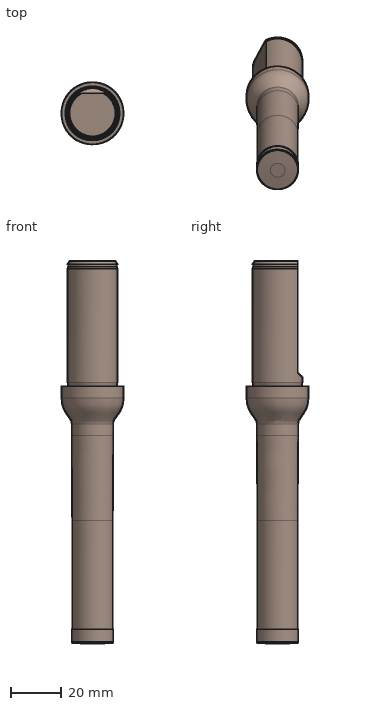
import cadquery as cq

TOTAL_LENGTH = 153.0

SHANK_RADIUS = 20.0 / 2
TOP_FACE_RADIUS = 9.2
TOP_CHAMFER_HEIGHT = 1.4
GROOVE_RADIUS = 19.5 / 2
GROOVE_HEIGHT = 0.9
GROOVE_TAPER_HEIGHT = 0.9
NECK_TAPER_HEIGHT = 1.5

FLAT_OFFSET = 8.1
FLAT_BOTTOM_Z = 108.3

COLLAR_RADIUS = 25.0 / 2
COLLAR_TOP_Z = 103.0
COLLAR_RIM_HEIGHT = 4.6
COLLAR_CURVE_HEIGHT = 10.4
CURVE_RIM_PULL = 6.3
CURVE_STEM_PULL = 2.9

UNDERCUT_RADIUS = 10.9
UNDERCUT_FLOOR_RADIUS = 10.4
UNDERCUT_DEPTH = 0.5

STEM_TOP_RADIUS = 16.7 / 2
STEM_RADIUS = 16.4 / 2
STEM_TAPER_TOP_Z = 83.2
STEM_TAPER_BOTTOM_Z = 49.3

TIP_RADIUS = 16.7 / 2
TIP_TOP_Z = 5.8
TIP_EDGE_Z = 0.8
POINT_BASE_RADIUS = 8.1
POINT_HEIGHT = 0.3
POINT_FLAT_RADIUS = 2.9

groove_top_z = TOTAL_LENGTH - TOP_CHAMFER_HEIGHT
groove_floor_bottom_z = groove_top_z - GROOVE_HEIGHT
groove_bottom_z = groove_floor_bottom_z - GROOVE_TAPER_HEIGHT
neck_top_z = COLLAR_TOP_Z + NECK_TAPER_HEIGHT
rim_bottom_z = COLLAR_TOP_Z - COLLAR_RIM_HEIGHT
stem_top_z = rim_bottom_z - COLLAR_CURVE_HEIGHT

undercut_floor_z = COLLAR_TOP_Z - UNDERCUT_DEPTH


def flat_cutter():
    """Material removed for the clamping flat and its 45 degree ramp."""
    cut_depth = COLLAR_RADIUS - FLAT_OFFSET
    profile = (
        cq.Workplane("YZ")
        .moveTo(FLAT_OFFSET, TOTAL_LENGTH)
        .lineTo(FLAT_OFFSET, FLAT_BOTTOM_Z)
        .lineTo(COLLAR_RADIUS, FLAT_BOTTOM_Z - cut_depth)
        .lineTo(COLLAR_RADIUS, TOTAL_LENGTH)
        .close()
    )
    return profile.extrude(SHANK_RADIUS, both=True)


def make_holder():
    """Shank, collar and stem as one turned body with a clamping flat."""
    collar_curve = [
        (COLLAR_RADIUS, rim_bottom_z),
        (COLLAR_RADIUS, rim_bottom_z - CURVE_RIM_PULL),
        (STEM_TOP_RADIUS, stem_top_z + CURVE_STEM_PULL),
        (STEM_TOP_RADIUS, stem_top_z),
    ]
    profile = (
        cq.Workplane("XZ")
        .moveTo(0, TOTAL_LENGTH)
        .lineTo(TOP_FACE_RADIUS, TOTAL_LENGTH)
        .lineTo(SHANK_RADIUS, groove_top_z)
        .lineTo(GROOVE_RADIUS, groove_top_z)
        .lineTo(GROOVE_RADIUS, groove_floor_bottom_z)
        .lineTo(SHANK_RADIUS, groove_bottom_z)
        .lineTo(SHANK_RADIUS, neck_top_z)
        .lineTo(GROOVE_RADIUS, COLLAR_TOP_Z)
        .lineTo(GROOVE_RADIUS, undercut_floor_z)
        .lineTo(UNDERCUT_FLOOR_RADIUS, undercut_floor_z)
        .lineTo(UNDERCUT_RADIUS, COLLAR_TOP_Z)
        .lineTo(COLLAR_RADIUS, COLLAR_TOP_Z)
        .lineTo(COLLAR_RADIUS, rim_bottom_z)
        .bezier(collar_curve)
        .lineTo(STEM_TOP_RADIUS, STEM_TAPER_TOP_Z)
        .lineTo(STEM_RADIUS, STEM_TAPER_BOTTOM_Z)
        .lineTo(STEM_RADIUS, TIP_TOP_Z)
        .lineTo(0, TIP_TOP_Z)
        .close()
    )
    return profile.revolve(360, (0, 0, 0), (0, 1, 0)).cut(flat_cutter())


def make_drill_tip():
    """Slightly wider cutting tip with a chamfered edge and a shallow, flat-ended cone."""
    profile = (
        cq.Workplane("XZ")
        .moveTo(0, TIP_TOP_Z)
        .lineTo(TIP_RADIUS, TIP_TOP_Z)
        .lineTo(TIP_RADIUS, TIP_EDGE_Z)
        .lineTo(POINT_BASE_RADIUS, POINT_HEIGHT)
        .lineTo(POINT_FLAT_RADIUS, 0)
        .lineTo(0, 0)
        .close()
    )
    return profile.revolve(360, (0, 0, 0), (0, 1, 0))


holder = make_holder()
drill_tip = make_drill_tip()

result = cq.Compound.makeCompound([holder.val(), drill_tip.val()])